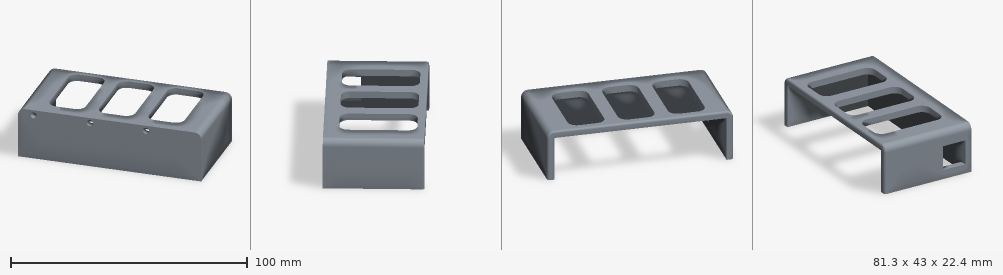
import cadquery as cq

length = 81.3
depth = 43.0
height = 22.4
wall = 3.0
side_edge_radius = 3.0
back_edge_radius = 1.0

window_count = 3
window_width = 16.0
window_depth = 33.0
window_pitch = 21.95
window_front_margin = 6.6
window_corner_radius = 4.0

hole_count = 3
hole_diameter = 2.8
hole_pitch = 24.95
first_hole_x = 6.9
hole_below_top = 2.35

port_size = 11.1
port_base = 4.2


def box_from_corner(x_size, y_size, z_size, corner):
    return cq.Workplane("XY").box(x_size, y_size, z_size, centered=False).translate(corner)


def make_shell():
    body = box_from_corner(length, depth, height, (0, 0, 0))
    body = body.edges("|Y and >Z").fillet(side_edge_radius)
    body = body.faces(">Y").edges("not <Z").fillet(back_edge_radius)
    cavity = box_from_corner(length - 2 * wall, depth - wall, height - wall, (wall, wall, 0))
    return body.cut(cavity)


def make_windows():
    centre_y = window_front_margin + window_depth / 2
    return (
        cq.Workplane("XY", origin=(length / 2, centre_y, height - wall))
        .rarray(window_pitch, 0.8, window_count, 1)
        .rect(window_width, window_depth)
        .extrude(wall)
        .edges("|Z")
        .fillet(window_corner_radius)
    )


def make_front_holes():
    positions = [(first_hole_x + i * hole_pitch, height - hole_below_top) for i in range(hole_count)]
    return cq.Workplane("XZ").pushPoints(positions).circle(hole_diameter / 2).extrude(-wall)


def make_port():
    return box_from_corner(wall, port_size, port_size, (0, wall, port_base))


result = make_shell().cut(make_windows()).cut(make_front_holes()).cut(make_port())